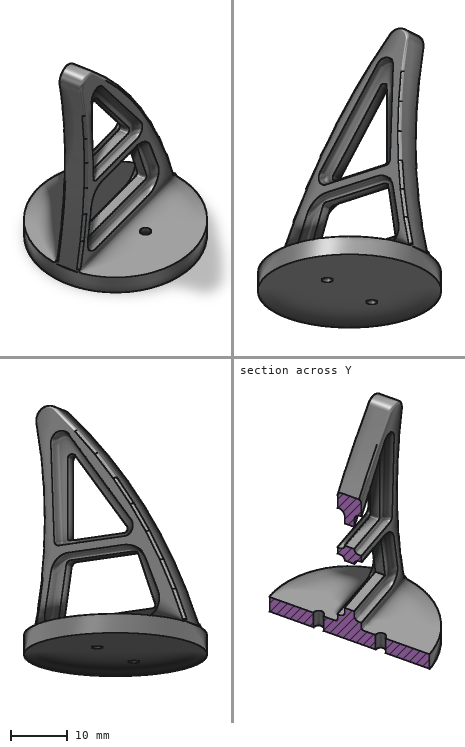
import cadquery as cq
import math


base_diameter = 32.2
base_thickness = 3.45
base_hole_diameter = 2.0
base_hole_spacing = 12.45

overall_height = 46.15
fin_thickness = 4.85
fin_foot_y = 15.95
tip_radius = 2.5
tip_center_y = -12.55
tip_center_z = overall_height - tip_radius
leading_angle = 46.6
trailing_angle = 194.0
leading_radius = 104.3
trailing_radius = 94.15
edge_round = 0.5
foot_fillet = 0.5

web_thickness = 1.95
recess_fillet = 1.0
recess_depth = (fin_thickness - web_thickness) / 2

upper_recess_bottom = 20.5
lower_recess_top = 18.95
upper_opening_bottom = upper_recess_bottom + recess_fillet
lower_opening_top = lower_recess_top - recess_fillet

upper_recess = [
    ((6.8, upper_recess_bottom), 1.75),
    ((-11.08, upper_recess_bottom), recess_fillet),
    ((-12.05, 45.45), 2.0),
]
upper_opening = [
    ((3.75, upper_opening_bottom), 0.7),
    ((-9.25, upper_opening_bottom), 0.5),
    ((-9.25, 38.75), 0.85),
]
lower_recess = [
    ((12.1, 5.08), 3.35),
    ((-13.6, 5.08), 2.85),
    ((-11.25, lower_recess_top), 3.65),
    ((6.4, lower_recess_top), 5.0),
]
lower_opening = [
    ((8.95, 7.15), 0.5),
    ((-11.1, 7.15), 0),
    ((-9.4, lower_opening_top), 1.0),
    ((5.05, lower_opening_top), 1.0),
]


def tip_point(angle):
    """Point on the tip circle; the angle is measured from +Y towards +Z."""
    radians = math.radians(angle)
    return (
        tip_center_y + tip_radius * math.cos(radians),
        tip_center_z + tip_radius * math.sin(radians),
    )


def rounded_prism(corners, x_start, length):
    """Prism along +X over a polygon whose corners are rounded one by one."""
    points = [point for point, radius in corners]
    prism = cq.Workplane("YZ", origin=(x_start, 0, 0)).polyline(points).close().extrude(length)
    for (y, z), radius in corners:
        if radius > 0:
            corner_edge = cq.selectors.NearestToPointSelector((x_start + length / 2, y, z))
            prism = prism.edges("|X").edges(corner_edge).fillet(radius)
    return prism


def make_base():
    base = cq.Workplane("XY").circle(base_diameter / 2).extrude(base_thickness)
    holes = (
        cq.Workplane("XY")
        .pushPoints([(-base_hole_spacing / 2, 0), (base_hole_spacing / 2, 0)])
        .circle(base_hole_diameter / 2)
        .extrude(base_thickness)
    )
    return base.cut(holes)


def make_blade(thickness):
    """Plain blade: round tip, hollow trailing edge, bowed leading edge."""
    middle_angle = (leading_angle + trailing_angle) / 2
    return (
        cq.Workplane("YZ", origin=(-thickness / 2, 0, 0))
        .moveTo(*tip_point(leading_angle))
        .threePointArc(tip_point(middle_angle), tip_point(trailing_angle))
        .radiusArc((-fin_foot_y, base_thickness), trailing_radius)
        .lineTo(fin_foot_y, base_thickness)
        .radiusArc(tip_point(leading_angle), -leading_radius)
        .close()
        .extrude(thickness)
    )


def make_fin():
    """Blade with rounded rims on both faces."""
    rims = make_blade(fin_thickness).faces("<X or >X").edges().edges("not(<Z)")
    return rims.fillet(edge_round)


def make_foot():
    """Strip with concave flanks that blends the fin faces into the base."""
    fin_face = fin_thickness / 2
    toe = fin_face + foot_fillet
    top = base_thickness + foot_fillet
    flank_inset = foot_fillet * math.sin(math.radians(45))
    strip = (
        cq.Workplane("XZ", origin=(0, base_diameter / 2, 0))
        .moveTo(-toe, base_thickness)
        .lineTo(toe, base_thickness)
        .threePointArc((toe - flank_inset, top - flank_inset), (fin_face, top))
        .lineTo(-fin_face, top)
        .threePointArc((-toe + flank_inset, top - flank_inset), (-toe, base_thickness))
        .close()
        .extrude(base_diameter)
    )
    footprint = cq.Workplane("XY").circle(base_diameter / 2).extrude(top)
    return strip.intersect(make_blade(2 * toe)).intersect(footprint)


def cut_window(fin, recess, opening):
    """Cut a recess with a filleted floor into each face of the fin, then the opening."""
    near_recess = rounded_prism(recess, -fin_thickness / 2, recess_depth)
    near_recess = near_recess.faces(">X").edges().fillet(recess_fillet)
    far_recess = near_recess.mirror("YZ")
    through = rounded_prism(opening, -fin_thickness / 2, fin_thickness)
    return fin.cut(near_recess).cut(far_recess).cut(through)


fin = make_fin()
fin = cut_window(fin, upper_recess, upper_opening)
fin = cut_window(fin, lower_recess, lower_opening)
result = make_base().union(make_foot()).union(fin)